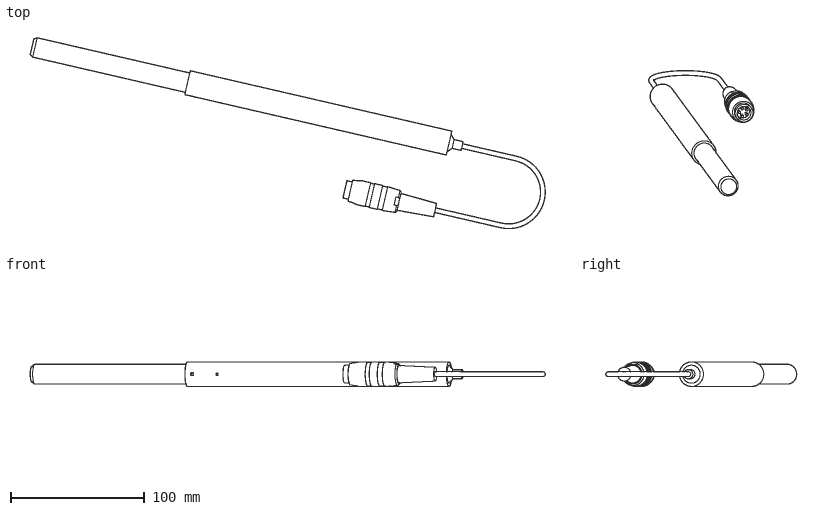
import cadquery as cq

tilt = -13.0

tube_diameter = 15.0
tube_length = 119.3
tip_diameter = 12.0
tip_chamfer_length = 2.5

handle_diameter = 18.5
handle_length = 200.5
cone_diameter = 13.5
cone_length = 3.0
collar_diameter = 7.0
collar_length = 7.0
outer_hole_diameter = 2.25
inner_hole_diameter = 1.7
outer_hole_offset = 5.5
inner_hole_offset = 24.5
side_hole_depth = 2.5

cable_diameter = 3.7
bend_start = 371.3
cable_spacing = 51.0

connector_start = 251.5
nose_diameter = 13.5
nose_length = 4.2
shoulder_diameter = 16.0
shoulder_length = 3.5
grip_start_diameter = 17.0
grip_taper_length = 4.0
grip_diameter = 18.5
grip_end = 30.8
groove_depth = 0.5
groove_spans = [(17.7, 3.0), (27.0, 4.0)]
sleeve_end_diameter = 17.0
sleeve_end = 41.5
rim_chamfer = 1.0
boot_base_diameter = 13.0
boot_end_diameter = 10.5
boot_end = 69.3
socket_diameter = 10.5
socket_depth = 7.0
pin_diameter = 1.7
pin_circle_diameter = 6.0
pin_count = 5
pin_length = 4.5
notch_width = 6.0
notch_length = 3.0
notch_depth = 1.0

handle_end = tube_length + handle_length
cone_end = handle_end + cone_length
collar_end = cone_end + collar_length
bend_radius = cable_spacing / 2
boot_tip = connector_start + boot_end


def turned(profile):
    """Revolve (station, diameter) points about the X axis."""
    outline = [(station, diameter / 2) for station, diameter in profile]
    closed = [(profile[0][0], 0), *outline, (profile[-1][0], 0)]
    return cq.Workplane("XY").polyline(closed).close().revolve(360, (0, 0), (1, 0))


def rod(start, length, diameter):
    """A cylinder along X."""
    return cq.Workplane("YZ", origin=(start, 0, 0)).circle(diameter / 2).extrude(length)


def make_tube():
    """Solid sensor tube with a chamfered tip at the origin."""
    return turned([
        (0, tip_diameter),
        (tip_chamfer_length, tube_diameter),
        (tube_length, tube_diameter),
    ])


def side_hole(station, diameter):
    """A blind radial hole cutter on the -Y side of the handle."""
    plane = cq.Workplane("XZ", origin=(station, -handle_diameter / 2, 0))
    return plane.circle(diameter / 2).extrude(-side_hole_depth)


def make_handle():
    """Handle with an end cone, a cable collar and mirrored pairs of side holes."""
    handle = turned([
        (tube_length, handle_diameter),
        (handle_end, handle_diameter),
        (handle_end, cone_diameter),
        (cone_end, collar_diameter),
        (collar_end, collar_diameter),
    ])
    holes = [(outer_hole_offset, outer_hole_diameter), (inner_hole_offset, inner_hole_diameter)]
    for offset, diameter in holes:
        for station in (tube_length + offset, handle_end - offset):
            handle = handle.cut(side_hole(station, diameter))
    return handle


def make_cable():
    """Cable leaving the collar, making a U-turn and returning to the boot."""
    path = (
        cq.Workplane("XY")
        .moveTo(collar_end, 0)
        .lineTo(bend_start, 0)
        .threePointArc((bend_start + bend_radius, -bend_radius), (bend_start, -cable_spacing))
        .lineTo(boot_tip, -cable_spacing)
    )
    section = cq.Workplane("YZ", origin=(collar_end, 0, 0)).circle(cable_diameter / 2)
    return section.sweep(path)


def make_shell():
    """Nose, stepped grip, sleeve and tapered boot, with the nose at X = 0."""
    shoulder_end = nose_length + shoulder_length
    shell = turned([
        (0, nose_diameter),
        (nose_length, nose_diameter),
        (nose_length, shoulder_diameter),
        (shoulder_end, grip_start_diameter),
        (shoulder_end + grip_taper_length, grip_diameter),
        (grip_end, grip_diameter),
        (sleeve_end - rim_chamfer, sleeve_end_diameter),
        (sleeve_end, sleeve_end_diameter - 2 * rim_chamfer),
        (sleeve_end, boot_base_diameter),
        (boot_end, boot_end_diameter),
    ])
    for start, width in groove_spans:
        ring = rod(start, width, grip_diameter).cut(rod(start, width, grip_diameter - 2 * groove_depth))
        shell = shell.cut(ring)
    return shell


def socket_pins():
    """Contact pins standing on the socket floor."""
    return (
        cq.Workplane("YZ", origin=(socket_depth, 0, 0))
        .polarArray(pin_circle_diameter / 2, 0, 360, pin_count)
        .circle(pin_diameter / 2)
        .extrude(-pin_length)
    )


def sleeve_notch():
    """A key notch cutter at the top of the sleeve's rear rim."""
    height = 2 * notch_depth
    block = cq.Workplane("XY").box(notch_length, notch_width, height, centered=(False, True, True))
    return block.translate((sleeve_end - notch_length, 0, sleeve_end_diameter / 2))


def make_connector():
    """Connector shell with its socket, contact pins and rear notch, placed on the cable's return leg."""
    connector = (
        make_shell()
        .cut(rod(0, socket_depth, socket_diameter))
        .union(socket_pins())
        .cut(sleeve_notch())
    )
    return connector.translate((connector_start, -cable_spacing, 0))


bodies = [make_tube(), make_handle(), make_cable(), make_connector()]
result = cq.Compound.makeCompound(
    [body.val().rotate(cq.Vector(0, 0, 0), cq.Vector(0, 0, 1), tilt) for body in bodies]
)